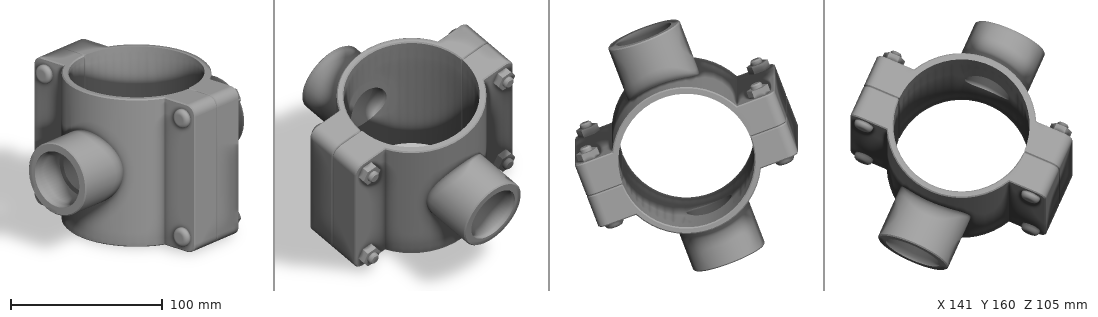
import cadquery as cq
import math

EDGE_CHAMFER = 0.8

HEIGHT = 105.0
FLANGE_HALF_WIDTH = 70.48
FLANGE_THICKNESS = 22.4
FLANGE_CORNER_RADIUS = 7.0

BORE_DIAMETER = 90.0
BORE_RADIUS = BORE_DIAMETER / 2
WALL = 4.5
RING_RADIUS = BORE_RADIUS + WALL

BRANCH_DIAMETER = 50.5
BRANCH_REACH = 80.0
BRANCH_HOLE_DIAMETER = 32.0
SOCKET_DIAMETER = 38.9
SOCKET_DEPTH = 25.0

BOLT_X = 60.2
BOLT_Z = 42.0
BOLT_DIAMETER = 8.0
BOLT_END_LENGTH = 8.2
BOLT_END_CHAMFER = 1.0
HEAD_DIAMETER = 13.0
HEAD_HEIGHT = 4.2
HEAD_ROUNDING = 3.0
NUT_ACROSS_FLATS = 13.0
NUT_ACROSS_CORNERS = NUT_ACROSS_FLATS / math.cos(math.pi / 6)
NUT_HEIGHT = 5.1

BOLT_CENTRES = [(x, z) for x in (-BOLT_X, BOLT_X) for z in (-BOLT_Z, BOLT_Z)]


def plane_at(y):
    """Work plane at a given Y that faces +Y, with its local X along the part's X."""
    return cq.Workplane(cq.Plane(origin=(0, y, 0), xDir=(1, 0, 0), normal=(0, 1, 0)))


def upright_cylinder(radius):
    """Cylinder along Z with the height of the clamp, centred on the origin."""
    return cq.Workplane("XY").circle(radius).extrude(HEIGHT / 2, both=True)


def turned_to_front(shape):
    """A shape built on the +Y side, turned half a turn about Z to the -Y side."""
    return shape.rotate((0, 0, 0), (0, 0, 1), 180)


def clamp_half():
    """Half ring with a flange at each side, on the +Y side of the joint plane Y = 0."""
    flanges = (
        plane_at(0)
        .rect(2 * FLANGE_HALF_WIDTH, HEIGHT)
        .extrude(FLANGE_THICKNESS)
        .edges("|Y")
        .fillet(FLANGE_CORNER_RADIUS)
        .faces(">Y")
        .chamfer(EDGE_CHAMFER)
    )
    ring = upright_cylinder(RING_RADIUS).faces("|Z").chamfer(EDGE_CHAMFER)
    ring_zone = plane_at(FLANGE_THICKNESS / 2).rect(2 * RING_RADIUS, HEIGHT).extrude(RING_RADIUS)
    half = flanges.union(ring.intersect(ring_zone)).cut(upright_cylinder(BORE_RADIUS))
    return half.faces("<Y").chamfer(EDGE_CHAMFER)


def chamfer_bore_ends(half):
    """Break the edge of the main bore at both ends of one half."""
    for end in (1, -1):
        cone = cq.Solid.makeCone(
            BORE_RADIUS + EDGE_CHAMFER,
            BORE_RADIUS,
            EDGE_CHAMFER,
            pnt=cq.Vector(0, 0, end * HEIGHT / 2),
            dir=cq.Vector(0, 0, -end),
        )
        half = half.cut(cq.Workplane(cone))
    return half


def bolt_heads():
    """Round-topped bolt heads on the outer flange face."""
    heads = plane_at(FLANGE_THICKNESS).pushPoints(BOLT_CENTRES)
    heads = heads.circle(HEAD_DIAMETER / 2).extrude(HEAD_HEIGHT)
    return heads.faces(">Y").edges().fillet(HEAD_ROUNDING)


def nuts():
    """Hexagon nuts on the outer flange face, with chamfered bolt ends standing out of them."""
    centres = plane_at(FLANGE_THICKNESS).pushPoints(BOLT_CENTRES)
    hexagons = centres.polygon(6, NUT_ACROSS_CORNERS).extrude(NUT_HEIGHT)
    bolt_ends = centres.circle(BOLT_DIAMETER / 2).extrude(BOLT_END_LENGTH)
    return hexagons.union(bolt_ends.faces(">Y").chamfer(BOLT_END_CHAMFER))


def clamp_body():
    """Both halves with their bolts and nuts, and the holes that lead into the branch pipes."""
    rear_half = clamp_half().union(nuts())
    front_half = turned_to_front(chamfer_bore_ends(clamp_half()).union(bolt_heads()))
    branch_hole = cq.Workplane("XZ").circle(BRANCH_HOLE_DIAMETER / 2).extrude(BRANCH_REACH, both=True)
    return rear_half.union(front_half).cut(branch_hole)


def branch_pipe():
    """Stepped pipe on the +Y side, its inner end saddled onto the outside of the ring."""
    pipe = plane_at(0).circle(BRANCH_DIAMETER / 2).extrude(BRANCH_REACH)
    pipe = pipe.faces(">Y").chamfer(EDGE_CHAMFER)
    hole = plane_at(0).circle(BRANCH_HOLE_DIAMETER / 2).extrude(BRANCH_REACH)
    socket = plane_at(BRANCH_REACH - SOCKET_DEPTH).circle(SOCKET_DIAMETER / 2).extrude(SOCKET_DEPTH)
    return pipe.cut(upright_cylinder(RING_RADIUS)).cut(hole).cut(socket)


clamp = clamp_body()
branch_pipes = [branch_pipe(), turned_to_front(branch_pipe())]

result = cq.Compound.makeCompound([clamp.val(), *[pipe.val() for pipe in branch_pipes]])